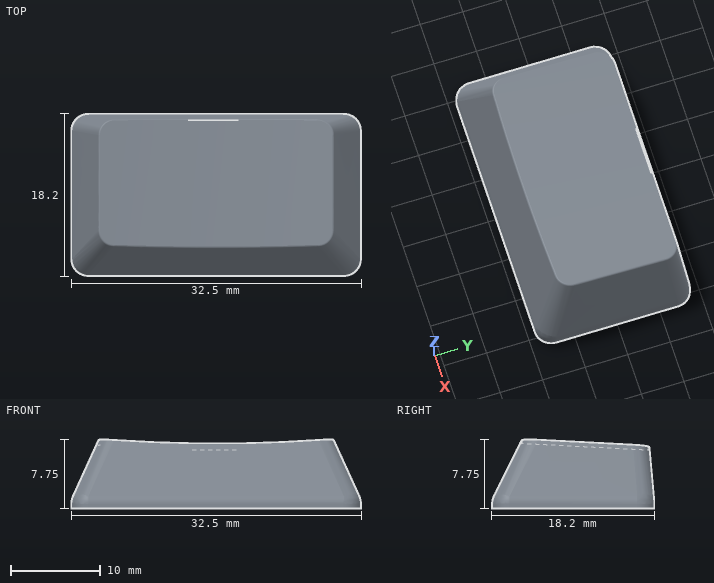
import cadquery as cq
import math

LENGTH = 32.45
WIDTH = 18.17
BELT_HEIGHT = 0.97
CORNER_RADIUS = 1.95

PEAK_HEIGHT = 7.82
SIDE_INSET = 3.08
FRONT_INSET = 3.4
REAR_INSET = 0.55

DISH_RADIUS = 162.25
TILT = 3.0
RIM_RADIUS = 0.23

OVERRUN = 1.1


def beyond_top(base_point, top_point):
    """Carry a wall edge from the base through the top and on past it."""
    start = cq.Vector(*base_point)
    return start + (cq.Vector(*top_point) - start) * OVERRUN


def make_walls():
    """Straight skirt with a tapered block on it; the block's top is tilted to match the dish."""
    base_x = LENGTH / 2
    base_y = WIDTH / 2
    top_x = base_x - SIDE_INSET
    front_y = FRONT_INSET - base_y
    rear_y = base_y - REAR_INSET
    rear_z = PEAK_HEIGHT - (rear_y - front_y) * math.tan(math.radians(TILT))

    base_corners = []
    top_corners = []
    for x_side, y_side, top_y, top_z in (
        (-1, -1, front_y, PEAK_HEIGHT),
        (1, -1, front_y, PEAK_HEIGHT),
        (1, 1, rear_y, rear_z),
        (-1, 1, rear_y, rear_z),
    ):
        base_point = (x_side * base_x, y_side * base_y, BELT_HEIGHT)
        base_corners.append(cq.Vector(*base_point))
        top_corners.append(beyond_top(base_point, (x_side * top_x, top_y, top_z)))

    base_outline = cq.Wire.makePolygon(base_corners, close=True)
    top_outline = cq.Wire.makePolygon(top_corners, close=True)
    taper = cq.Solid.makeLoft([base_outline, top_outline], True)
    skirt = cq.Workplane("XY").box(LENGTH, WIDTH, BELT_HEIGHT, centered=(True, True, False))
    return skirt.union(cq.Workplane(obj=taper))


def round_walls(body):
    """Round the four corners and the bend around the belt in one rolling-ball blend."""
    blended = cq.selectors.BoxSelector(
        (-LENGTH, -WIDTH, BELT_HEIGHT / 4),
        (LENGTH, WIDTH, PEAK_HEIGHT * 0.8),
    )
    return body.edges(blended).fillet(CORNER_RADIUS)


def make_dish():
    """Cylinder that cuts the tilted trough; it meets the front corners at the peak height."""
    half_top = LENGTH / 2 - SIDE_INSET
    sag = DISH_RADIUS - math.sqrt(DISH_RADIUS**2 - half_top**2)
    front_edge = FRONT_INSET - WIDTH / 2
    tilt = math.radians(TILT)
    axis_direction = cq.Vector(0, math.cos(tilt), -math.sin(tilt))
    normal = cq.Vector(0, math.sin(tilt), math.cos(tilt))
    trough = cq.Vector(0, front_edge, PEAK_HEIGHT - sag)
    start = trough + normal * DISH_RADIUS - axis_direction * WIDTH
    return cq.Workplane(obj=cq.Solid.makeCylinder(DISH_RADIUS, 3 * WIDTH, start, axis_direction))


keycap = round_walls(make_walls()).cut(make_dish())
top_face = cq.selectors.NearestToPointSelector((0, 0, PEAK_HEIGHT))
result = keycap.faces(top_face).edges().fillet(RIM_RADIUS)